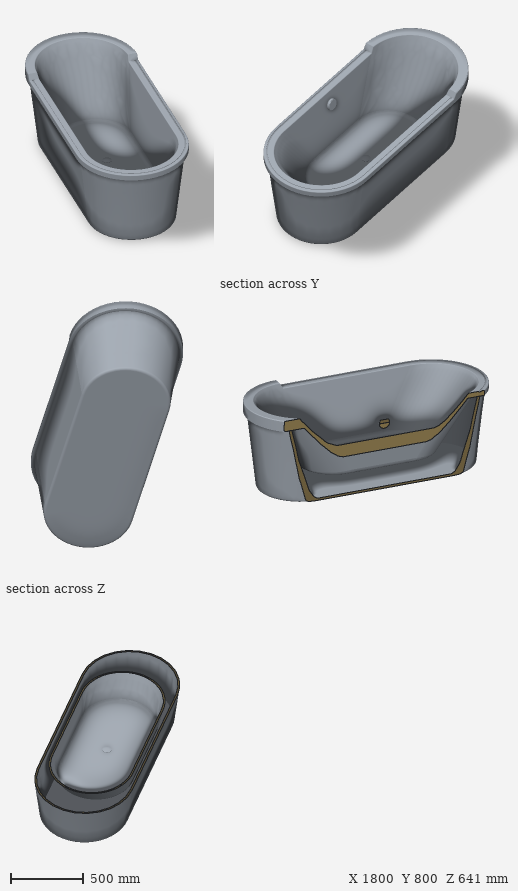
import cadquery as cq
import math

overall_length = 1800.0
overall_width = 800.0
overall_height = 641.0
rim_radius = overall_width / 2
end_center = overall_length / 2 - rim_radius

rim_top = 601.0
rim_bottom = 560.0
rim_edge_fillet = 6.0
headrest_end = -504.0
headrest_slope_length = 26.0
slope_foot = headrest_end + headrest_slope_length
groove_outer_radius = 382.0
groove_inner_radius = 371.0
groove_depth = 5.0

tub_wall = 15.0
basin_top_radius = 328.0
floor_height = 150.0
floor_center = 243.0
floor_radius = 258.0
floor_fillet = 32.0
headrest_top_center = 494.0

wall_lean = (basin_top_radius - floor_radius) / (rim_top - floor_height)
headrest_lean = (headrest_top_center - floor_center) / (overall_height - floor_height)
foot_lean = (end_center - floor_center) / (rim_top - floor_height)

skirt_top_radius = 376.0
skirt_bottom_radius = 311.0
skirt_wall = 15.0
skirt_floor = 20.0
skirt_fillet = 20.0

drain_diameter = 64.0
drain_edge_height = 3.0
dome_rise = 7.0
drain_stem_diameter = 44.0

overflow_height = 490.0
rosette_diameter = 84.0
rosette_thickness = 16.0
cap_diameter = 80.0
cap_thickness = 4.0


def slot_prism(radius, z_low, z_high):
    """Upright body over the plan slot with the given end radius."""
    base = cq.Workplane("XY").workplane(offset=z_low)
    return base.slot2D(2 * (end_center + radius), 2 * radius).extrude(z_high - z_low)


def flared_slot(low_radius, low_z, high_radius, high_z):
    """Body over the plan slot whose walls lean outward evenly from low_z to high_z."""
    height = high_z - low_z
    lean = math.degrees(math.atan2(high_radius - low_radius, height))
    base = cq.Workplane("XY").workplane(offset=low_z)
    return base.slot2D(2 * (end_center + low_radius), 2 * low_radius).extrude(height, taper=-lean)


def basin_wire(growth, z):
    """Basin outline at height z, grown outward by growth; each end slopes back on its own line."""
    rise = z - floor_height
    radius = floor_radius + wall_lean * rise + growth
    low_x = -(floor_center + headrest_lean * rise)
    high_x = floor_center + foot_lean * rise
    outline = cq.Workplane("XY", origin=((low_x + high_x) / 2, 0, z))
    return outline.slot2D(high_x - low_x + 2 * radius, 2 * radius).val()


def basin_body(growth, z_low, z_high):
    """Basin shape grown outward by growth, rounded where its walls meet its floor."""
    body = cq.Workplane(cq.Solid.makeLoft([basin_wire(growth, z_low), basin_wire(growth, z_high)], True))
    return body.faces("<Z").edges().fillet(floor_fillet + growth)


def make_rim_block():
    """Filled rim with the headrest rising at its -X end and sloping down to the low rim."""
    side_profile = (
        cq.Workplane("XZ", origin=(0, rim_radius, 0))
        .moveTo(-overall_length / 2, rim_bottom)
        .lineTo(overall_length / 2, rim_bottom)
        .lineTo(overall_length / 2, rim_top)
        .lineTo(slope_foot, rim_top)
        .lineTo(headrest_end, overall_height)
        .lineTo(-overall_length / 2, overall_height)
        .close()
        .extrude(overall_width)
    )
    return slot_prism(rim_radius, rim_bottom, overall_height).intersect(side_profile)


def make_groove():
    """Shallow groove along the low rim, ending at the foot of the headrest slope."""
    groove_bottom = rim_top - groove_depth
    ring = slot_prism(groove_outer_radius, groove_bottom, rim_top)
    ring = ring.cut(slot_prism(groove_inner_radius, groove_bottom, rim_top))
    low_side = cq.Workplane("XY").box(
        overall_length, overall_width, overall_height, centered=(False, True, False)
    )
    return ring.intersect(low_side.translate((slope_foot, 0, 0)))


def make_tub():
    """Basin shell and rim in one piece, the rim rounded along its inner and outer top edges."""
    shell = basin_body(tub_wall, floor_height - tub_wall, rim_bottom)
    tub = shell.union(make_rim_block()).cut(basin_body(0, floor_height, overall_height))
    above_rim_side = cq.selectors.BoxSelector(
        (-overall_length, -overall_width, (rim_bottom + rim_top) / 2),
        (overall_length, overall_width, overall_height + rim_edge_fillet),
    )
    tub = tub.edges(above_rim_side).edges("not(|Y or |Z)").fillet(rim_edge_fillet)
    return tub.cut(make_groove())


def make_skirt():
    """Open-topped shell with leaning walls and a rounded bottom edge."""
    outer = flared_slot(skirt_bottom_radius, 0, skirt_top_radius, rim_bottom)
    outer = outer.faces("<Z").edges().fillet(skirt_fillet)
    inner_bottom_radius = skirt_bottom_radius - skirt_wall
    inner_top_radius = skirt_top_radius - skirt_wall
    inner = flared_slot(inner_bottom_radius, skirt_floor, inner_top_radius, rim_bottom)
    return outer.cut(inner)


def make_drain():
    """Domed plug resting on the floor, its stem filling the drain hole."""
    dome_radius = ((drain_diameter / 2) ** 2 + dome_rise**2) / (2 * dome_rise)
    return (
        cq.Workplane("XZ", origin=(0, 0, floor_height))
        .moveTo(0, -tub_wall)
        .lineTo(drain_stem_diameter / 2, -tub_wall)
        .lineTo(drain_stem_diameter / 2, 0)
        .lineTo(drain_diameter / 2, 0)
        .lineTo(drain_diameter / 2, drain_edge_height)
        .radiusArc((0, drain_edge_height + dome_rise), -dome_radius)
        .close()
        .revolve(360, (0, 0, 0), (0, 1, 0))
    )


overflow_y = -(floor_radius + wall_lean * (overflow_height - floor_height))
overflow_plane = cq.Plane(origin=(0, overflow_y, overflow_height), xDir=(1, 0, 0), normal=(0, 1, wall_lean))


def overflow_disc(diameter, base, thickness):
    return cq.Workplane(overflow_plane).workplane(offset=base).circle(diameter / 2).extrude(thickness)


rosette = overflow_disc(rosette_diameter, 0, rosette_thickness)
cap = overflow_disc(cap_diameter, rosette_thickness, cap_thickness)
drain = make_drain()
tub = make_tub().cut(drain).solids()
skirt = make_skirt().solids()

result = cq.Compound.makeCompound([tub.val(), skirt.val(), drain.val(), rosette.val(), cap.val()])